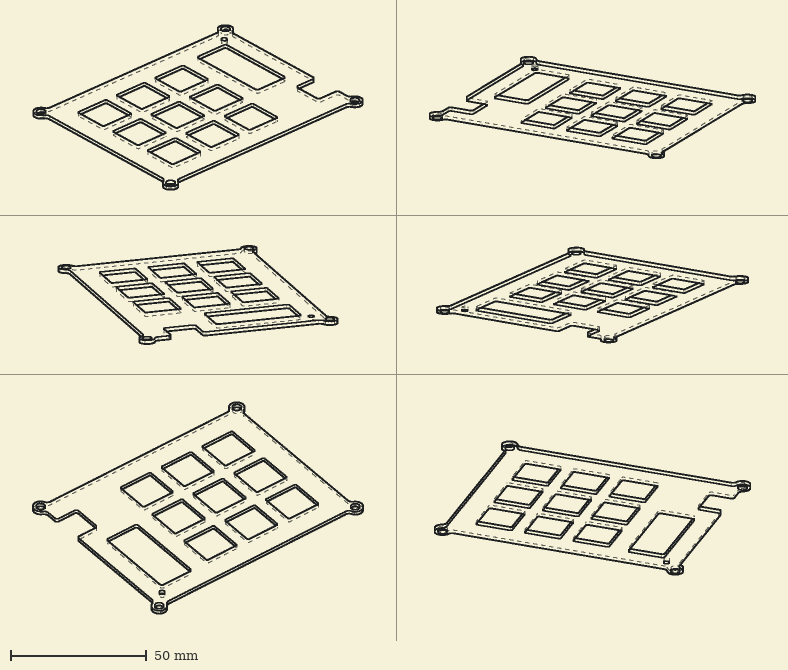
import cadquery as cq

outer_width = 77.0
outer_length = 97.2
thickness = 1.5

ear_radius = 2.9
ear_hole_diameter = 3.4
ear_blend_radius = 1.9
body_width = outer_width - 2 * ear_radius
body_length = outer_length - 2 * ear_radius
half_width = body_width / 2
half_length = body_length / 2

key_size = 14.0
key_pitch = 19.0
key_count = 3
key_grid_y = -10.0
key_corner_radius = 0.5

window_width = 33.0
window_height = 14.2
window_x = -10.6
window_y = 31.0
cutout_corner_radius = 1.0

notch_width = 12.4
notch_depth = 9.4
notch_x = 19.8

small_hole_diameter = 2.1
small_hole_x = -30.2
small_hole_y = 40.2


def rounded_block(width, height, x, y, radius):
    """Block through the plate thickness with rounded vertical edges."""
    block = cq.Workplane("XY").center(x, y).rect(width, height).extrude(thickness)
    return block.edges("|Z").fillet(radius)


def vertical_edges_near(plate, points):
    """Select the vertical edges that pass through the given XY points."""
    reach = 0.1
    edges = plate.edges("|Z")
    found = []
    for x, y in points:
        box = cq.selectors.BoxSelector(
            (x - reach, y - reach, -reach), (x + reach, y + reach, thickness + reach)
        )
        found += edges.edges(box).vals()
    return plate.newObject(found)


corners = [(sx * half_width, sy * half_length) for sx in (-1, 1) for sy in (-1, 1)]

plate = cq.Workplane("XY").rect(body_width, body_length).extrude(thickness)
ears = cq.Workplane("XY").pushPoints(corners).circle(ear_radius).extrude(thickness)
plate = plate.union(ears)

ear_junctions = []
for sx in (-1, 1):
    for sy in (-1, 1):
        ear_junctions.append((sx * (half_width - ear_radius), sy * half_length))
        ear_junctions.append((sx * half_width, sy * (half_length - ear_radius)))
plate = vertical_edges_near(plate, ear_junctions).fillet(ear_blend_radius)

notch = (
    cq.Workplane("XY")
    .center(notch_x, half_length)
    .rect(notch_width, 2 * notch_depth)
    .extrude(thickness)
)
plate = plate.cut(notch)
notch_corners = [
    (notch_x + side * notch_width / 2, y)
    for side in (-1, 1)
    for y in (half_length, half_length - notch_depth)
]
plate = vertical_edges_near(plate, notch_corners).fillet(cutout_corner_radius)

plate = plate.cut(
    rounded_block(window_width, window_height, window_x, window_y, cutout_corner_radius)
)

for column in range(key_count):
    for row in range(key_count):
        key_x = (column - (key_count - 1) / 2) * key_pitch
        key_y = key_grid_y + (row - (key_count - 1) / 2) * key_pitch
        plate = plate.cut(rounded_block(key_size, key_size, key_x, key_y, key_corner_radius))

ear_holes = cq.Workplane("XY").pushPoints(corners).circle(ear_hole_diameter / 2).extrude(thickness)
small_hole = (
    cq.Workplane("XY")
    .center(small_hole_x, small_hole_y)
    .circle(small_hole_diameter / 2)
    .extrude(thickness)
)
result = plate.cut(ear_holes).cut(small_hole)